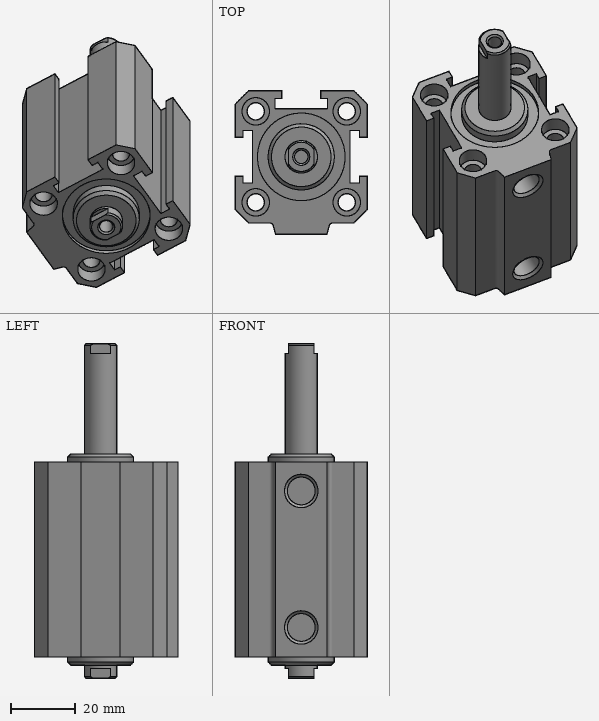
import cadquery as cq
import math


body_half = 20.5
body_length = 60.4
corner_chamfer = 4.2
pad_height = 3.5
pad_half = 8.0
pad_draft = 15.0
pad_root_radius = 1.0
pick_margin = 0.1

slot_mouth_half = 6.0
slot_half = 8.1
slot_lip = 2.5
back_slot_depth = 5.6
side_slot_depth = 5.4

bolt_offset = 14.1
bolt_diameter = 5.3
counterbore_diameter = 8.5
counterbore_depth = 5.4

collar_diameter = 20.5
collar_height = 2.5
collar_chamfer = 1.0
recess_diameter = 27.1
recess_depth = 1.6

port_diameter = 8.6
port_mouth_diameter = 10.4
port_depth = 8.3
port_top_inset = 9.0
port_pitch = 42.2

rod_diameter = 10.0
rod_length = 103.5
rod_below = 6.5
rod_chamfer = 0.5
flat_width = 8.0
flat_length = 3.0
thread_diameter = 4.1
thread_mouth_diameter = 5.3
thread_depth = 10.4


def housing_block():
    """Extruded square profile with cut corners and the sloped port pad."""
    block = (
        cq.Workplane("XY")
        .rect(2 * body_half, 2 * body_half)
        .extrude(body_length)
        .edges("|Z")
        .chamfer(corner_chamfer)
    )
    pad_outer_y = -body_half - pad_height
    root_half = pad_half + pad_height * math.tan(math.radians(pad_draft))
    pad = (
        cq.Workplane("XY")
        .polyline([
            (-pad_half, pad_outer_y),
            (pad_half, pad_outer_y),
            (root_half, -body_half),
            (root_half, 0),
            (-root_half, 0),
            (-root_half, -body_half),
        ])
        .close()
        .extrude(body_length)
    )
    block = block.union(pad)

    root_band = cq.selectors.BoxSelector(
        (-root_half - pick_margin, -body_half - pick_margin, 0),
        (root_half + pick_margin, -body_half + pick_margin, body_length),
    )
    return block.edges("|Z").edges(root_band).fillet(pad_root_radius)


def t_slot(slot_depth, turn):
    """T-slot cutter for the +Y face, turned about the Z axis by the given angle."""
    slot_floor = body_half - slot_depth
    lip_inner = body_half - slot_lip
    mouth = cq.Workplane("XY").box(
        2 * slot_mouth_half, slot_depth, body_length, centered=(True, False, False)
    )
    wide = cq.Workplane("XY").box(
        2 * slot_half, lip_inner - slot_floor, body_length, centered=(True, False, False)
    )
    return mouth.union(wide).translate((0, slot_floor, 0)).rotate((0, 0, 0), (0, 0, 1), turn)


def mounting_holes():
    """Four through holes, counterbored from both end faces."""
    corners = [(x, y) for x in (-bolt_offset, bolt_offset) for y in (-bolt_offset, bolt_offset)]
    holes = cq.Workplane("XY").pushPoints(corners).circle(bolt_diameter / 2).extrude(body_length)
    for floor_z in (0, body_length - counterbore_depth):
        counterbores = (
            cq.Workplane("XY", origin=(0, 0, floor_z))
            .pushPoints(corners)
            .circle(counterbore_diameter / 2)
            .extrude(counterbore_depth)
        )
        holes = holes.union(counterbores)
    return holes


def end_recesses():
    """Shallow round recess in each end face."""
    lower = cq.Workplane("XY").circle(recess_diameter / 2).extrude(recess_depth)
    return lower.union(lower.translate((0, 0, body_length - recess_depth)))


def collars():
    """Chamfered guide collars, running through the housing from end to end."""
    return (
        cq.Workplane("XY", origin=(0, 0, -collar_height))
        .circle(collar_diameter / 2)
        .extrude(body_length + 2 * collar_height)
        .faces("<Z or >Z")
        .chamfer(collar_chamfer)
    )


def tapped_hole(diameter, mouth_diameter, depth):
    """Blind hole cutter along +Z from the origin, with a 45 degree countersunk mouth."""
    radius = diameter / 2
    mouth_radius = mouth_diameter / 2
    return (
        cq.Workplane("XZ")
        .polyline([
            (0, 0),
            (mouth_radius, 0),
            (radius, mouth_radius - radius),
            (radius, depth),
            (0, depth),
        ])
        .close()
        .revolve(360, (0, 0, 0), (0, 1, 0))
    )


def make_housing():
    housing = housing_block()
    housing = housing.cut(t_slot(back_slot_depth, 0))
    for turn in (-90, 90):
        housing = housing.cut(t_slot(side_slot_depth, turn))
    housing = housing.cut(mounting_holes()).cut(end_recesses()).union(collars())

    port = tapped_hole(port_diameter, port_mouth_diameter, port_depth)
    port = port.rotate((0, 0, 0), (1, 0, 0), -90)
    upper_port_z = body_length - port_top_inset
    for port_z in (upper_port_z, upper_port_z - port_pitch):
        housing = housing.cut(port.translate((0, -body_half - pad_height, port_z)))

    bore_length = body_length + 2 * collar_height
    bore = cq.Workplane("XY", origin=(0, 0, -collar_height)).circle(rod_diameter / 2).extrude(bore_length)
    return housing.cut(bore)


def make_rod():
    rod = (
        cq.Workplane("XY")
        .circle(rod_diameter / 2)
        .extrude(rod_length)
        .faces("<Z or >Z")
        .chamfer(rod_chamfer)
    )

    flat_offset = (flat_width + rod_diameter) / 2
    for flat_z in (0, rod_length - flat_length):
        flat_cutters = (
            cq.Workplane("XY", origin=(0, 0, flat_z))
            .pushPoints([(-flat_offset, 0), (flat_offset, 0)])
            .rect(rod_diameter, rod_diameter)
            .extrude(flat_length)
        )
        rod = rod.cut(flat_cutters)

    lower_hole = tapped_hole(thread_diameter, thread_mouth_diameter, thread_depth)
    upper_hole = lower_hole.mirror("XY").translate((0, 0, rod_length))
    return rod.cut(lower_hole).cut(upper_hole).translate((0, 0, -rod_below))


housing = make_housing()
rod = make_rod()

result = cq.Compound.makeCompound([housing.val(), rod.val()])